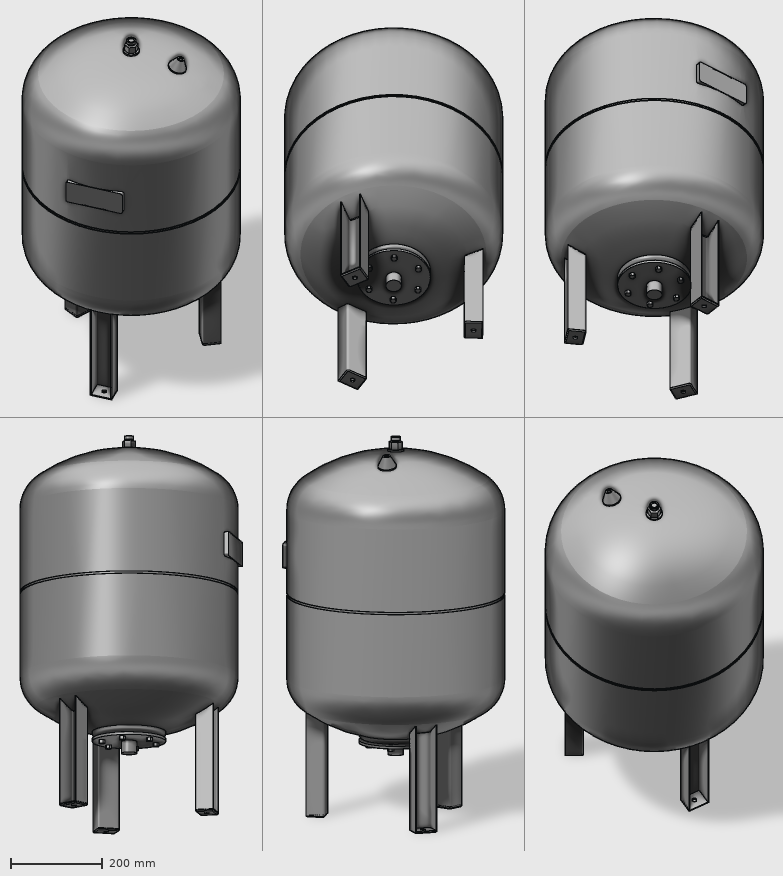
import cadquery as cq
import math

shell_radius = 480.0 / 2
knuckle_radius = 83.5
dome_radius = 356.0
cylinder_bottom = 313.5
cylinder_top = 688.0
seam_width = 5.0
seam_depth = 2.0

knuckle_centre_radius = shell_radius - knuckle_radius
knuckle_angle = math.acos(knuckle_centre_radius / (dome_radius - knuckle_radius))
dome_edge_radius = dome_radius * math.cos(knuckle_angle)
knuckle_rise = knuckle_radius * math.sin(knuckle_angle)
knuckle_mid_radius = knuckle_centre_radius + knuckle_radius * math.cos(knuckle_angle / 2)
knuckle_mid_rise = knuckle_radius * math.sin(knuckle_angle / 2)
dome_centre_drop = (dome_radius - knuckle_radius) * math.sin(knuckle_angle)
dome_rise = dome_radius - dome_centre_drop
dome_mid_angle = (knuckle_angle + math.pi / 2) / 2
dome_mid_radius = dome_radius * math.cos(dome_mid_angle)
dome_mid_rise = dome_radius * math.sin(dome_mid_angle) - dome_centre_drop
shell_top = cylinder_top + dome_rise
overlap = 8.5

plate_width = 132.0
plate_height = 54.5
plate_corner_radius = 5.0
plate_centre_z = 589.0
plate_stand_out = 1.0
plate_root_depth = 25.5

leg_count = 3
leg_width = 50.0
leg_inner_radius = 155.0
leg_outer_radius = 196.0
leg_wall = 2.5
leg_bend_radius = 5.0
foot_thickness = 5.0
foot_chamfer = 2.5
foot_hole_radius = 5.0
leg_depth = leg_outer_radius - leg_inner_radius

valve_washer_radius = 18.0
valve_washer_top = 825.0
valve_hex_flats = 25.5
valve_hex_top = 841.0
valve_neck_radius = 8.0
valve_head_radius = 10.0
valve_head_bottom = 844.0
valve_top = 852.0
valve_bore_radius = 7.0
valve_bore_depth = 2.0

cap_offset = 107.0
cap_base_radius = 20.5
cap_tip_radius = 8.0
cap_height = 24.0
cap_rim_height = 2.5
cap_bore_radius = 4.0
cap_bore_depth = 2.5
cap_tilt = math.degrees(math.asin(cap_offset / dome_radius))

flange_radius = 81.0
collar_bottom = 178.0
collar_rounding = 9.0
flange_gap = 3.0
flange_thickness = 6.0
bolt_count = 6
bolt_circle_radius = 62.0
bolt_shank_radius = 4.0
bolt_head_flats = 12.0
bolt_head_height = 8.0
pipe_radius = 17.0
pipe_bottom = 142.0
flange_top = collar_bottom - flange_gap
flange_bottom = flange_top - flange_thickness


def cylinder(radius, bottom, top):
    return cq.Workplane("XY").workplane(offset=bottom).circle(radius).extrude(top - bottom)


def hexagon(flats, bottom, top):
    """Hexagonal prism with two corners on the Y axis."""
    corner_diameter = flats / math.cos(math.pi / 6)
    prism = cq.Workplane("XY").polygon(6, corner_diameter).extrude(top - bottom)
    return prism.rotate((0, 0, 0), (0, 0, 1), 30).translate((0, 0, bottom))


def make_shell():
    profile = (
        cq.Workplane("XZ")
        .moveTo(0, cylinder_bottom - dome_rise)
        .threePointArc(
            (dome_mid_radius, cylinder_bottom - dome_mid_rise),
            (dome_edge_radius, cylinder_bottom - knuckle_rise),
        )
        .threePointArc(
            (knuckle_mid_radius, cylinder_bottom - knuckle_mid_rise),
            (shell_radius, cylinder_bottom),
        )
        .lineTo(shell_radius, cylinder_top)
        .threePointArc(
            (knuckle_mid_radius, cylinder_top + knuckle_mid_rise),
            (dome_edge_radius, cylinder_top + knuckle_rise),
        )
        .threePointArc((dome_mid_radius, cylinder_top + dome_mid_rise), (0, shell_top))
        .close()
    )
    return profile.revolve(360, (0, 0, 0), (0, 1, 0))


def make_seam_groove():
    seam_bottom = (cylinder_bottom + cylinder_top - seam_width) / 2
    ring = cq.Workplane("XY").workplane(offset=seam_bottom)
    ring = ring.circle(shell_radius + seam_depth).circle(shell_radius - seam_depth)
    return ring.extrude(seam_width)


def make_name_plate():
    front = shell_radius + plate_stand_out
    plate = cq.Workplane("XY").box(plate_width, plate_root_depth, plate_height)
    plate = plate.edges("|Y").fillet(plate_corner_radius)
    return plate.translate((0, plate_root_depth / 2 - front, plate_centre_z))


def make_leg():
    """Leg on the -Y side, its web towards the vessel axis."""
    centre_y = -(leg_inner_radius + leg_outer_radius) / 2
    leg = cq.Workplane("XY").center(0, centre_y).rect(leg_width, leg_depth).extrude(cylinder_bottom)
    leg = leg.edges("|Z and >Y").fillet(leg_bend_radius)
    leg = leg.faces("<Z").edges().chamfer(foot_chamfer)
    channel = (
        cq.Workplane("XY")
        .workplane(offset=foot_thickness)
        .center(0, centre_y - leg_wall)
        .rect(leg_width - 2 * leg_wall, leg_depth)
        .extrude(cylinder_bottom)
        .edges("|Z and >Y")
        .fillet(leg_bend_radius - leg_wall)
    )
    foot_hole = cylinder(foot_hole_radius, 0, foot_thickness).translate((0, centre_y, 0))
    return leg.cut(channel).cut(foot_hole)


def make_air_valve():
    washer = cylinder(valve_washer_radius, shell_top - overlap, valve_washer_top)
    nut = hexagon(valve_hex_flats, valve_washer_top, valve_hex_top)
    neck = cylinder(valve_neck_radius, valve_hex_top, valve_head_bottom)
    head = cylinder(valve_head_radius, valve_head_bottom, valve_top)
    bore = cylinder(valve_bore_radius, valve_top - valve_bore_depth, valve_top)
    return washer.union(nut).union(neck).union(head).cut(bore)


def make_conical_cap():
    cap_tip = cap_rim_height + cap_height
    profile = (
        cq.Workplane("XZ")
        .moveTo(0, -overlap)
        .lineTo(cap_base_radius, -overlap)
        .lineTo(cap_base_radius, cap_rim_height)
        .lineTo(cap_tip_radius, cap_tip)
        .lineTo(cap_bore_radius, cap_tip)
        .lineTo(cap_bore_radius, cap_tip - cap_bore_depth)
        .lineTo(0, cap_tip - cap_bore_depth)
        .close()
    )
    cap = profile.revolve(360, (0, 0, 0), (0, 1, 0)).translate((0, 0, dome_radius))
    cap = cap.rotate((0, 0, 0), (0, 1, 0), cap_tilt)
    return cap.translate((0, 0, shell_top - dome_radius))


def make_collar():
    collar = cylinder(flange_radius, collar_bottom, cylinder_bottom - knuckle_rise)
    return collar.faces("<Z").edges().fillet(collar_rounding)


def make_vessel():
    vessel = make_shell().cut(make_seam_groove())
    vessel = vessel.union(make_collar()).union(make_name_plate())
    vessel = vessel.union(make_air_valve()).union(make_conical_cap())
    for index in range(leg_count):
        leg = make_leg().rotate((0, 0, 0), (0, 0, 1), index * 360 / leg_count)
        vessel = vessel.union(leg)
    return vessel


def make_bolt():
    """Head under the flange, shank up to the collar."""
    head = hexagon(bolt_head_flats, flange_bottom - bolt_head_height, flange_bottom)
    return head.union(cylinder(bolt_shank_radius, flange_bottom, collar_bottom))


def make_flange():
    flange = cylinder(flange_radius, flange_bottom, flange_top)
    flange = flange.union(cylinder(pipe_radius, pipe_bottom, flange_bottom))
    bolt = make_bolt().translate((bolt_circle_radius, 0, 0))
    for index in range(bolt_count):
        flange = flange.union(bolt.rotate((0, 0, 0), (0, 0, 1), index * 360 / bolt_count))
    return flange


vessel = make_vessel()
flange = make_flange()
result = cq.Compound.makeCompound([vessel.val(), flange.val()])